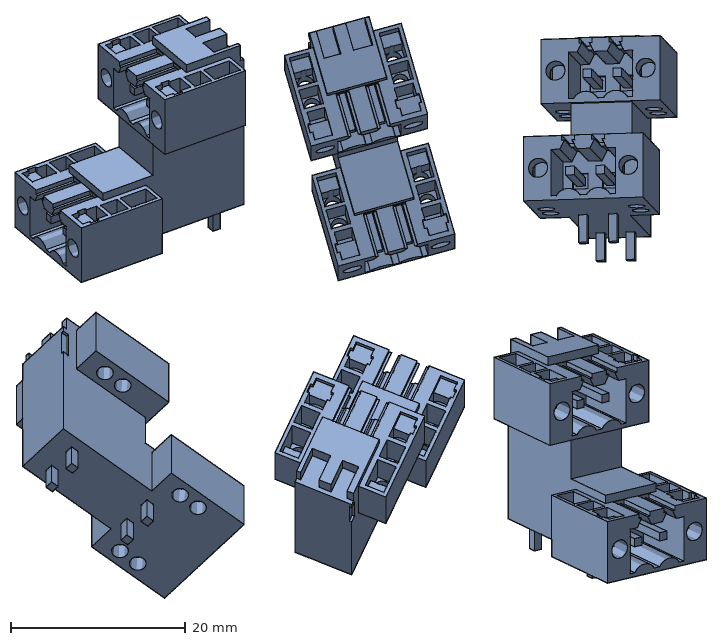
import cadquery as cq


BLOCK_WIDTH = 13.9
BLOCK_DEPTH = 11.1
BLOCK_HEIGHT = 7.5
LEVEL_RISE = 13.45
LEVEL_SETBACK = 11.45
LEVELS = [(0.0, 0.0), (LEVEL_SETBACK, LEVEL_RISE)]

CORE_WIDTH = 7.1
CORE_BACK_Y = 24.55
LOWER_COVER_THICKNESS = 1.0
COVER_FRONT_OFFSET = 5.2
STEP_FACE_Y = 12.05
LOWER_COVER_TOP = BLOCK_HEIGHT + LOWER_COVER_THICKNESS
UPPER_COVER_TOP = 22.0
BACK_LEDGE_DEPTH = 0.5
BACK_LEDGE_Z = 19.9

COVER_NOTCHES = [(-2.75, -0.75), (0.75, 3.05)]
COVER_NOTCH_LENGTH = 3.8

FLANK_RECESS_LENGTH = 0.8
FLANK_RECESS_Z = (15.0, 19.0)
FLANK_RECESS_DEPTH = 0.3

PITCH = 3.5
CONTACT_XS = [-PITCH / 2, PITCH / 2]
CAVITY_WIDTH = 7.5
CAVITY_FLOOR = 0.5
CAVITY_ROOF = 5.9
CAVITY_DEPTH = 8.0
KEY_BASE_WIDTH = 1.95
KEY_TOP_WIDTH = 0.75
KEY_TOP = 7.05
KEY_SLOT_WIDTH = 1.5
KEY_SLOT_DEPTH = 0.55
KEY_SLOT_LENGTH = 5.1
RIB_WIDTH = 2.75
RIB_HEIGHT = 0.78

FLANGE_X = 5.25
SCREW_HOLE_DIAMETER = 2.2
SCREW_HOLE_Z = 3.8
PEG_HOLE_DIAMETER = 1.9
PEG_HOLE_YS = [5.55, 8.25]
POCKET_FLOOR = 2.5
POCKET_X = (4.2, 6.5)
MIDDLE_POCKET_Y = (4.45, 6.7)
REAR_POCKET_Y = (7.15, 10.65)
REAR_STEP_Y = 9.15
REAR_STEP_Z = BLOCK_HEIGHT - 1.8
NUT_POCKET_Y = (0.6, 3.95)
NUT_STEP_Y = 2.6
NUT_STEP_Z = BLOCK_HEIGHT - 0.65
NUT_WING_FRONT_Y = 1.55
LEFT_NUT_X = (-6.3, -4.2)
LEFT_WING_X = (-6.6, -4.2)
RIGHT_NUT_X = (4.1, 6.35)
RIGHT_WING_X = (3.8, 6.65)

PIN_SIZE = 1.0
PIN_Z = 3.6
PIN_TIP_OFFSET = 1.25
POST_Y_OFFSET = 10.2
POST_BOTTOM = -3.2
PIN_RECESS_SIZE = 1.8
PIN_RECESS_DEPTH = 0.5


def box(xs, ys, zs):
    """Box between the low and high limits of each axis."""
    size = [high - low for low, high in (xs, ys, zs)]
    return cq.Workplane("XY").box(*size, centered=False).translate((xs[0], ys[0], zs[0]))


def around(middle, width):
    """Limits of a span centred on a value."""
    return (middle - width / 2, middle + width / 2)


def mirrored(span):
    """The same span on the other side of the middle plane."""
    return (-span[1], -span[0])


def front_prism(sketch, depth):
    """Extrude a closed XZ sketch from the mating face (Y = 0) back into the block."""
    return sketch.extrude(-depth)


def core():
    """Stepped centre of the housing with its two cover plates."""
    upper_cover_front = LEVEL_SETBACK + COVER_FRONT_OFFSET
    upper_block_top = LEVEL_RISE + BLOCK_HEIGHT
    ledge_y = CORE_BACK_Y - BACK_LEDGE_DEPTH
    outline = [
        (COVER_FRONT_OFFSET, 0),
        (CORE_BACK_Y, 0),
        (CORE_BACK_Y, BACK_LEDGE_Z),
        (ledge_y, BACK_LEDGE_Z),
        (ledge_y, UPPER_COVER_TOP),
        (upper_cover_front, UPPER_COVER_TOP),
        (upper_cover_front, upper_block_top),
        (STEP_FACE_Y, upper_block_top),
        (STEP_FACE_Y, LOWER_COVER_TOP),
        (COVER_FRONT_OFFSET, LOWER_COVER_TOP),
    ]
    body = cq.Workplane("YZ").polyline(outline).close().extrude(CORE_WIDTH / 2, both=True)

    flank_x = (-CORE_WIDTH / 2, -CORE_WIDTH / 2 + FLANK_RECESS_DEPTH)
    flank_y = (CORE_BACK_Y - FLANK_RECESS_LENGTH, CORE_BACK_Y)
    return body.cut(box(flank_x, flank_y, FLANK_RECESS_Z))


def mating_cavity():
    """Space for the plug: chamber with keyways above and rounded ribs below each contact."""
    space = box(around(0, CAVITY_WIDTH), (0, CAVITY_DEPTH), (CAVITY_FLOOR, CAVITY_ROOF))
    for x in CONTACT_XS:
        base_left, base_right = around(x, KEY_BASE_WIDTH)
        top_left, top_right = around(x, KEY_TOP_WIDTH)
        keyway = (
            cq.Workplane("XZ")
            .moveTo(base_left, CAVITY_ROOF)
            .lineTo(top_left, KEY_TOP)
            .lineTo(top_right, KEY_TOP)
            .lineTo(base_right, CAVITY_ROOF)
            .close()
        )
        space = space.union(front_prism(keyway, CAVITY_DEPTH))

        slot_z = (BLOCK_HEIGHT - KEY_SLOT_DEPTH, BLOCK_HEIGHT)
        space = space.union(box(around(x, KEY_SLOT_WIDTH), (0, KEY_SLOT_LENGTH), slot_z))

        rib_left, rib_right = around(x, RIB_WIDTH)
        rib = (
            cq.Workplane("XZ")
            .moveTo(rib_left, CAVITY_FLOOR)
            .threePointArc((x, CAVITY_FLOOR + RIB_HEIGHT), (rib_right, CAVITY_FLOOR))
            .close()
        )
        space = space.cut(front_prism(rib, CAVITY_DEPTH))

        recess_y = (CAVITY_DEPTH, CAVITY_DEPTH + PIN_RECESS_DEPTH)
        recess_z = around(PIN_Z, PIN_RECESS_SIZE)
        space = space.union(box(around(x, PIN_RECESS_SIZE), recess_y, recess_z))
    return space


def nut_pocket(pocket_x, wing_x):
    """Stepped pocket: a deep well at the back, a shallow winged shelf in front."""
    front, back = NUT_POCKET_Y
    well = box(pocket_x, (NUT_STEP_Y, back), (POCKET_FLOOR, BLOCK_HEIGHT))
    shelf = box(pocket_x, (front, NUT_STEP_Y), (NUT_STEP_Z, BLOCK_HEIGHT))
    wings = box(wing_x, (NUT_WING_FRONT_Y, NUT_STEP_Y), (NUT_STEP_Z, BLOCK_HEIGHT))
    return well.union(shelf).union(wings)


def flange_cutouts(x, pocket_x):
    """Middle and rear pockets, peg holes and screw hole of one flange."""
    middle = box(pocket_x, MIDDLE_POCKET_Y, (POCKET_FLOOR, BLOCK_HEIGHT))
    rear_front, rear_back = REAR_POCKET_Y
    rear_well = box(pocket_x, (rear_front, REAR_STEP_Y), (POCKET_FLOOR, BLOCK_HEIGHT))
    rear_shelf = box(pocket_x, (REAR_STEP_Y, rear_back), (REAR_STEP_Z, BLOCK_HEIGHT))
    cutouts = middle.union(rear_well).union(rear_shelf)

    peg_holes = (
        cq.Workplane("XY")
        .pushPoints([(x, y) for y in PEG_HOLE_YS])
        .circle(PEG_HOLE_DIAMETER / 2)
        .extrude(BLOCK_HEIGHT)
    )
    screw_hole = cq.Workplane("XZ").center(x, SCREW_HOLE_Z).circle(SCREW_HOLE_DIAMETER / 2)
    return cutouts.union(peg_holes).union(front_prism(screw_hole, NUT_STEP_Y))


def block_cutouts():
    """Everything removed from one connector block, in the place of the lower block."""
    return (
        mating_cavity()
        .union(flange_cutouts(-FLANGE_X, mirrored(POCKET_X)))
        .union(flange_cutouts(FLANGE_X, POCKET_X))
        .union(nut_pocket(LEFT_NUT_X, LEFT_WING_X))
        .union(nut_pocket(RIGHT_NUT_X, RIGHT_WING_X))
    )


def make_housing():
    """Core and both blocks joined, then the block cutouts and cover notches removed."""
    block = box(around(0, BLOCK_WIDTH), (0, BLOCK_DEPTH), (0, BLOCK_HEIGHT))
    cutouts = block_cutouts()
    body = core()
    for y, z in LEVELS:
        body = body.union(block.translate((0, y, z)))
    for y, z in LEVELS:
        body = body.cut(cutouts.translate((0, y, z)))

    notch_y = (CORE_BACK_Y - COVER_NOTCH_LENGTH, CORE_BACK_Y)
    for notch_x in COVER_NOTCHES:
        body = body.cut(box(notch_x, notch_y, (BACK_LEDGE_Z, UPPER_COVER_TOP)))
    return body


def make_pin(x, mating_face_y, level_z):
    """Square contact: a horizontal blade bent down into a solder post."""
    blade_bottom, blade_top = around(level_z + PIN_Z, PIN_SIZE)
    post_front, post_back = around(mating_face_y + POST_Y_OFFSET, PIN_SIZE)
    tip_y = mating_face_y + PIN_TIP_OFFSET
    outline = [
        (tip_y, blade_bottom),
        (post_front, blade_bottom),
        (post_front, POST_BOTTOM),
        (post_back, POST_BOTTOM),
        (post_back, blade_top),
        (tip_y, blade_top),
    ]
    pin = cq.Workplane("YZ").polyline(outline).close().extrude(PIN_SIZE / 2, both=True)
    return pin.translate((x, 0, 0))


housing = make_housing()
pins = [make_pin(x, y, z) for y, z in LEVELS for x in CONTACT_XS]
for pin in pins:
    housing = housing.cut(pin)

result = cq.Compound.makeCompound([housing.solids().val(), *[pin.val() for pin in pins]])